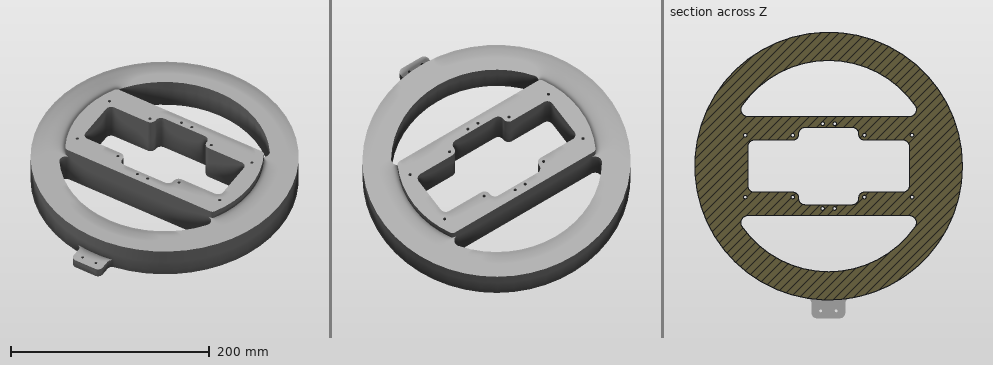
import cadquery as cq
import math

overall_length = 288.3
overall_height = 41.0
ring_diameter = 270.0
ring_radius = ring_diameter / 2
pad_height = 8.6
ring_height = overall_height - pad_height

bridge_width = 100.0
pad_end_radius = 100.0
pad_corner_radius = 5.0

opening_radius = 106.0
opening_corner_radius = 7.0

window_length = 162.0
window_width = 52.0
window_center_length = 60.0
window_center_width = 77.3
window_corner_radius = 6.0

bridge_hole_diameter = 3.2
outer_hole_x = 84.0
inner_hole_x = 36.0
side_hole_y = 31.0
center_hole_x = 6.0
center_hole_y = 42.7

tab_width = 34.0
tab_height = 9.8
tab_corner_radius = 5.5
tab_end_y = ring_radius - overall_length
tab_hole_diameter = 3.0
tab_hole_x = 7.8
tab_hole_y = -146.0


def make_pad():
    """Raised pad: a disc trimmed to the width of the bridge."""
    strip = cq.Workplane("XY").box(
        2 * ring_radius, bridge_width, overall_height, centered=(True, True, False)
    )
    disc = cq.Workplane("XY").circle(pad_end_radius).extrude(overall_height)
    pad = disc.intersect(strip).edges("|Z").fillet(pad_corner_radius)
    above_ring = (
        cq.Workplane("XY")
        .workplane(offset=ring_height)
        .rect(2 * ring_radius, 2 * ring_radius)
        .extrude(pad_height)
    )
    return pad.intersect(above_ring)


def make_opening(side):
    """Segment between the bridge and the inner circle; side is +1 or -1 along Y."""
    chord_y = side * bridge_width / 2
    chord_half = math.sqrt(opening_radius**2 - chord_y**2)
    return (
        cq.Workplane("XY")
        .moveTo(-chord_half, chord_y)
        .lineTo(chord_half, chord_y)
        .threePointArc((0, side * opening_radius), (-chord_half, chord_y))
        .close()
        .extrude(ring_height)
        .edges("|Z")
        .fillet(opening_corner_radius)
    )


def make_window():
    """Long rectangle widened in the middle, with every corner rounded."""
    long_part = cq.Workplane("XY").rect(window_length, window_width).extrude(overall_height)
    center_part = (
        cq.Workplane("XY").rect(window_center_length, window_center_width).extrude(overall_height)
    )
    return long_part.union(center_part).edges("|Z").fillet(window_corner_radius)


def make_tab():
    """Tab with rounded outer corners and concave fillets running into the ring."""
    half_width = tab_width / 2
    fillet_center_x = half_width + tab_corner_radius
    fillet_center_distance = ring_radius + tab_corner_radius
    fillet_center_y = -math.sqrt(fillet_center_distance**2 - fillet_center_x**2)
    root_x = fillet_center_x * ring_radius / fillet_center_distance
    root_y = fillet_center_y * ring_radius / fillet_center_distance
    inner_y = -opening_radius - tab_corner_radius

    angle_to_ring = math.atan2(-fillet_center_y, -fillet_center_x)
    middle_angle = (angle_to_ring + math.pi) / 2
    middle_x = fillet_center_x + tab_corner_radius * math.cos(middle_angle)
    middle_y = fillet_center_y + tab_corner_radius * math.sin(middle_angle)

    return (
        cq.Workplane("XY")
        .moveTo(-root_x, inner_y)
        .lineTo(-root_x, root_y)
        .threePointArc((-middle_x, middle_y), (-half_width, fillet_center_y))
        .lineTo(-half_width, tab_end_y)
        .lineTo(half_width, tab_end_y)
        .lineTo(half_width, fillet_center_y)
        .threePointArc((middle_x, middle_y), (root_x, root_y))
        .lineTo(root_x, inner_y)
        .close()
        .extrude(tab_height)
        .edges("|Z and <Y")
        .fillet(tab_corner_radius)
    )


def make_holes(points, diameter):
    """Pins used to cut holes right through the part."""
    return cq.Workplane("XY").pushPoints(points).circle(diameter / 2).extrude(overall_height)


bridge_hole_points = [
    (side_x * x, side_y * y)
    for x, y in (
        (outer_hole_x, side_hole_y),
        (inner_hole_x, side_hole_y),
        (center_hole_x, center_hole_y),
    )
    for side_x in (-1, 1)
    for side_y in (-1, 1)
]
tab_hole_points = [(side * tab_hole_x, tab_hole_y) for side in (-1, 1)]

result = cq.Workplane("XY").circle(ring_radius).extrude(ring_height)
result = result.union(make_tab()).union(make_pad())
for opening_side in (-1, 1):
    result = result.cut(make_opening(opening_side))
result = result.cut(make_window())
result = result.cut(make_holes(bridge_hole_points, bridge_hole_diameter))
result = result.cut(make_holes(tab_hole_points, tab_hole_diameter))